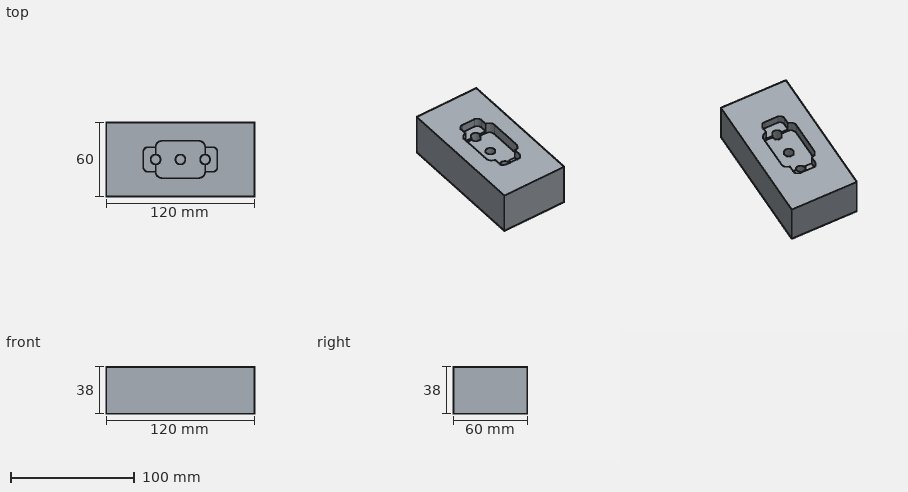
import cadquery as cq

block_length = 120.0
block_width = 60.0
block_height = 38.0

pocket_length = 40.0
pocket_width = 30.0
pocket_depth = 10.0
pocket_corner_radius = 5.0

shelf_length = 60.0
shelf_width = 20.0
shelf_depth = 8.0
shelf_corner_radius = 4.0

hole_diameter = 8.0
hole_depth_below_floor = 10.0
hole_spacing = pocket_length / 2


def rounded_pocket(length, width, depth, corner_radius):
    """Cutter for a pocket with rounded vertical corners, open at the block's top."""
    return (
        cq.Workplane("XY", origin=(0, 0, block_height - depth))
        .rect(length, width)
        .extrude(depth)
        .edges("|Z")
        .fillet(corner_radius)
    )


def blind_holes():
    """Cutters for the row of three flat-bottomed holes along X."""
    depth = pocket_depth + hole_depth_below_floor
    centres = [(-hole_spacing, 0), (0, 0), (hole_spacing, 0)]
    return (
        cq.Workplane("XY", origin=(0, 0, block_height - depth))
        .pushPoints(centres)
        .circle(hole_diameter / 2)
        .extrude(depth)
    )


block = cq.Workplane("XY").box(block_length, block_width, block_height, centered=(True, True, False))

result = (
    block
    .cut(rounded_pocket(pocket_length, pocket_width, pocket_depth, pocket_corner_radius))
    .cut(rounded_pocket(shelf_length, shelf_width, shelf_depth, shelf_corner_radius))
    .cut(blind_holes())
)